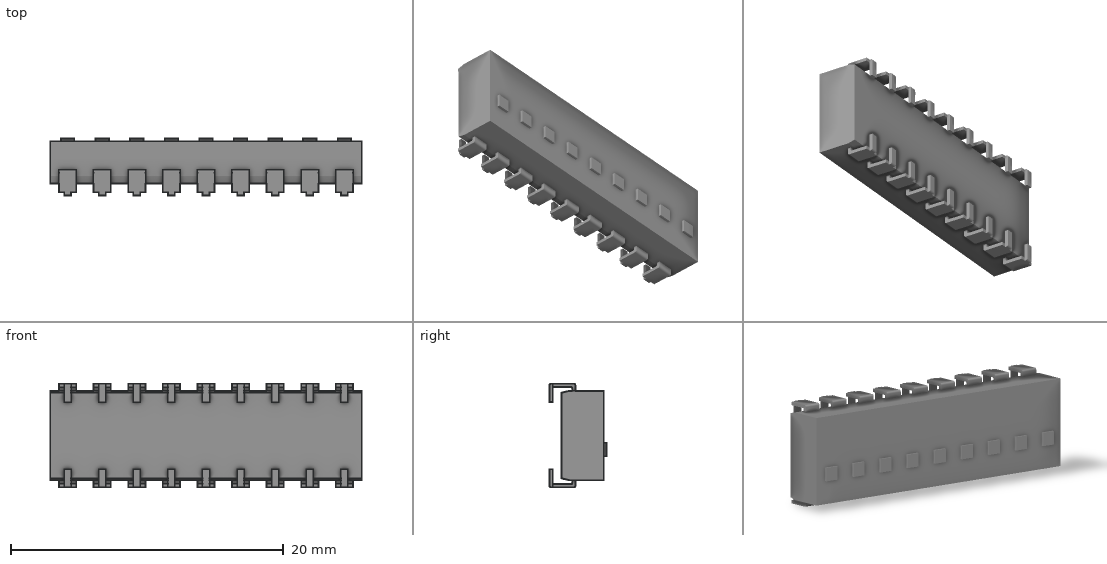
import cadquery as cq

overall_depth = 4.2
overall_height = 7.61

body_length = 22.85
body_depth = 3.1
body_height = 6.55
bevel_depth = 0.55
bevel_drop = 0.14

position_count = 9
pitch = 2.54

slider_size = 1.0
slider_height = 0.2
slider_offset_z = -1.03

lead_thickness = 0.25
lead_width = 1.28
lead_reach = 1.92
tab_width = 0.53
tab_length = 1.35
bend_outer_radius = 0.14
bend_inner_radius = 0.07
root_embed = 0.11

body_front_y = -body_depth
lead_front_y = slider_height - overall_depth
lead_back_y = lead_front_y + lead_reach
lead_shoulder_y = lead_front_y + lead_thickness
lead_top_z = overall_height / 2
body_top_z = body_height / 2
position_xs = [(i - (position_count - 1) / 2) * pitch for i in range(position_count)]


def extrude_along_x(outline, width):
    """Extrude a (y, z) outline by width, centred on x = 0."""
    return cq.Workplane("YZ").polyline(outline).close().extrude(width / 2, both=True)


def make_body():
    """Block whose long top and bottom edges slope in towards the front face."""
    bevel_start_y = body_front_y + bevel_depth
    front_top_z = body_top_z - bevel_drop
    outline = [
        (0, -body_top_z),
        (0, body_top_z),
        (bevel_start_y, body_top_z),
        (body_front_y, front_top_z),
        (body_front_y, -front_top_z),
        (bevel_start_y, -body_top_z),
    ]
    return extrude_along_x(outline, body_length)


def make_slider():
    """Square slider knob standing on the back face."""
    return (
        cq.Workplane("XY")
        .box(slider_size, slider_height, slider_size)
        .translate((0, slider_height / 2, slider_offset_z))
    )


def make_top_lead():
    """Wide foot rising from the body and running forward, ending in a narrow tab bent down."""
    inner_y = lead_back_y - lead_thickness
    inner_z = lead_top_z - lead_thickness
    root_z = body_top_z - root_embed
    strap_outline = [
        (lead_back_y, root_z),
        (lead_back_y, lead_top_z),
        (lead_shoulder_y, lead_top_z),
        (lead_shoulder_y, inner_z),
        (inner_y, inner_z),
        (inner_y, root_z),
    ]
    strap = extrude_along_x(strap_outline, lead_width)
    strap = strap.edges("|X and >Y and >Z").fillet(bend_outer_radius)
    inner_edge = cq.selectors.NearestToPointSelector((0, inner_y, inner_z))
    strap = strap.edges("|X").edges(inner_edge).fillet(bend_inner_radius)

    tab = (
        cq.Workplane("XY")
        .box(tab_width, lead_thickness, tab_length)
        .translate((0, lead_front_y + lead_thickness / 2, lead_top_z - tab_length / 2))
        .edges("|X and <Y and >Z")
        .fillet(bend_outer_radius)
    )
    return strap.union(tab)


slider = make_slider()
top_lead = make_top_lead()
bottom_lead = top_lead.mirror("XY")

result = make_body()
for x in position_xs:
    for feature in (slider, top_lead, bottom_lead):
        result = result.union(feature.translate((x, 0, 0)))